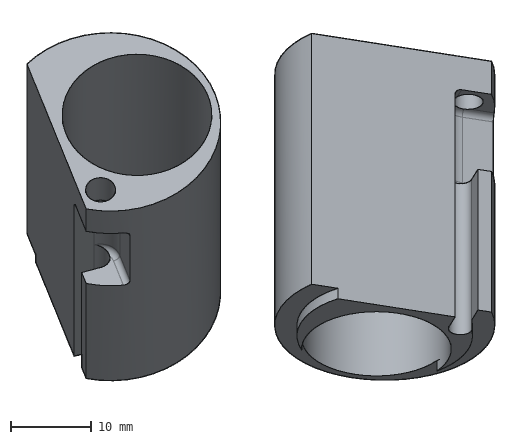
import cadquery as cq

height = 37.5
body_diameter = 27.38
depth = 20.78
bore_diameter = 18.6
bore_y = 3.45
foot_diameter = 21.82
foot_height = 1.5
hole_diameter = 3.7
hole_x = 9.5
hole_y = -4.45
pocket_corner_radius = 2.5
pocket_bottom = 21.68
pocket_top = 32.75
pocket_fillet = 0.82
slot_width = 2.95

body_radius = body_diameter / 2
flat_y = body_radius - depth
pocket_left = hole_x - pocket_corner_radius
pocket_floor_y = hole_y + pocket_corner_radius
open_y = -body_diameter
open_x = body_diameter


def flatted_cylinder(diameter, bottom, top):
    """Vertical cylinder on the body axis, cut off by the front flat."""
    cylinder = cq.Workplane("XY").workplane(offset=bottom).circle(diameter / 2).extrude(top - bottom)
    front = (
        cq.Workplane("XY")
        .workplane(offset=bottom)
        .center(0, flat_y - diameter / 2)
        .rect(2 * diameter, diameter)
        .extrude(top - bottom)
    )
    return cylinder.cut(front)


def make_pocket():
    """Side pocket, open to the front and right, its end faces blended into its walls."""
    block = (
        cq.Workplane("XY")
        .workplane(offset=pocket_bottom)
        .moveTo(pocket_left, open_y)
        .lineTo(pocket_left, hole_y)
        .radiusArc((hole_x, pocket_floor_y), pocket_corner_radius)
        .lineTo(open_x, pocket_floor_y)
        .lineTo(open_x, open_y)
        .close()
        .extrude(pocket_top - pocket_bottom)
    )
    floor_ends = block.faces(">Y").edges("|X")
    return floor_ends.fillet(pocket_fillet)


def make_slot():
    """Round-bottomed slot in the flat, from the foot up into the pocket."""
    slot_radius = slot_width / 2
    slot_right = pocket_left + slot_width
    return (
        cq.Workplane("XY")
        .moveTo(pocket_left, open_y)
        .lineTo(pocket_left, hole_y)
        .threePointArc((pocket_left + slot_radius, hole_y + slot_radius), (slot_right, hole_y))
        .lineTo(slot_right, open_y)
        .close()
        .extrude(pocket_bottom + pocket_fillet)
    )


def make_hole():
    """Vertical hole from the top face into the pocket."""
    return (
        cq.Workplane("XY")
        .workplane(offset=pocket_top - pocket_fillet)
        .center(hole_x, hole_y)
        .circle(hole_diameter / 2)
        .extrude(height - pocket_top + pocket_fillet)
    )


body = flatted_cylinder(body_diameter, foot_height, height)
foot = flatted_cylinder(foot_diameter, 0, foot_height)
bore = cq.Workplane("XY").center(0, bore_y).circle(bore_diameter / 2).extrude(height)

result = body.union(foot).cut(bore).cut(make_pocket()).cut(make_slot()).cut(make_hole())